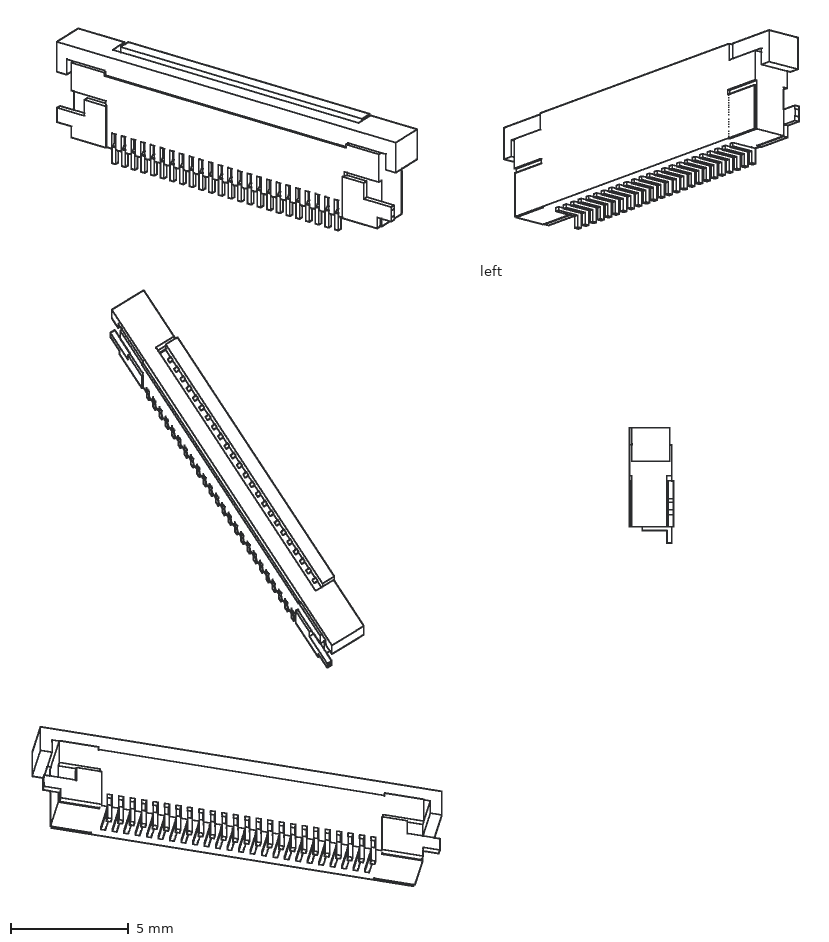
import cadquery as cq


LENGTH = 17.5
HEIGHT = 4.9

HOUSING_LENGTH = 15.89
HOUSING_DEPTH = 1.8
HOUSING_BOTTOM = 0.68
SHOULDER_HEIGHT = 4.16
LEDGE_HEIGHT = 4.0
MIDDLE_LENGTH = 12.46
TONGUE_FRONT = 1.2

ACTUATOR_FRONT = 0.09
ACTUATOR_BACK = 1.7
SHOULDER_GAP = 0.05
ACTUATOR_BOTTOM = SHOULDER_HEIGHT + SHOULDER_GAP
LEG_WIDTH = 0.5
LEG_LENGTH = 1.42
SLOT_LENGTH = 12.69
SLOT_FRONT = 0.79
KEEL_OVERLAP = 0.05

RECESS_LENGTH = 1.78
RECESS_TOP = 2.85
FRONT_RECESS_DEPTH = 0.21
BACK_RECESS_DEPTH = 0.1
TAB_PROUD = 0.07
TAB_GAP = 0.05
TAB_INNER = 6.1
TAB_STEP = 7.21
TAB_FOOT = 7.9
TAB_TIP = 8.63
NUB_LENGTH = 0.009
NUB_TOP = 1.73
NUB_BOTTOM = 1.42
TAB_TOP = 2.65
ARM_TOP = 1.89
ARM_BOTTOM = 1.2

CONTACT_COUNT = 24
CONTACT_ROW_LENGTH = 11.5
CONTACT_PITCH = CONTACT_ROW_LENGTH / (CONTACT_COUNT - 1)
SLIT_WIDTH = 0.21
SLIT_TOP = 1.42
SLIT_DEPTH = 0.21
PIN_WIDTH = 0.2
PIN_BACK = 1.26
PIN_TOP = 0.79
PIN_THICKNESS = 0.21
PIN_UNDERSIDE = 0.52
PIN_RAMP = 0.12
BLADE_WIDTH = 0.18
BLADE_FRONT = 1.05
BLADE_RISE = 0.15


def box(x_range, y_range, z_range):
    """Box between two X, two Y and two Z positions."""
    size = [end - start for start, end in (x_range, y_range, z_range)]
    corner = (x_range[0], y_range[0], z_range[0])
    return cq.Workplane("XY").box(*size, centered=False).translate(corner)


def both_ends(solid):
    """The solid together with its mirror image at the other end."""
    return solid.union(solid.mirror("YZ"))


def make_housing():
    """Body with raised shoulders, a rear tongue above the middle ledge, and tab recesses."""
    half = HOUSING_LENGTH / 2
    middle = MIDDLE_LENGTH / 2
    body = box((-half, half), (0, HOUSING_DEPTH), (HOUSING_BOTTOM, SHOULDER_HEIGHT))
    body = body.cut(box((-middle, middle), (0, TONGUE_FRONT), (LEDGE_HEIGHT, HEIGHT)))
    body = body.union(box((-middle, middle), (TONGUE_FRONT, HOUSING_DEPTH), (LEDGE_HEIGHT, HEIGHT)))
    recess_x = (-half, -half + RECESS_LENGTH)
    recess_z = (HOUSING_BOTTOM, RECESS_TOP)
    recesses = box(recess_x, (0, FRONT_RECESS_DEPTH), recess_z)
    back_recess_y = (HOUSING_DEPTH - BACK_RECESS_DEPTH, HOUSING_DEPTH)
    recesses = recesses.union(box(recess_x, back_recess_y, recess_z))
    return body.cut(both_ends(recesses))


def make_actuator():
    """Bar across the top with end legs, resting on the ledge and open behind for the tongue."""
    half = LENGTH / 2
    leg_inner = half - LEG_WIDTH
    slot_half = SLOT_LENGTH / 2
    keel_half = MIDDLE_LENGTH / 2 + KEEL_OVERLAP
    actuator_y = (ACTUATOR_FRONT, ACTUATOR_BACK)
    bar = box((-half, half), actuator_y, (ACTUATOR_BOTTOM, HEIGHT))
    leg = box((-half, -leg_inner), actuator_y, (HEIGHT - LEG_LENGTH, HEIGHT))
    keel = box((-keel_half, keel_half), (ACTUATOR_FRONT, SLOT_FRONT), (LEDGE_HEIGHT, HEIGHT))
    slot = box((-slot_half, slot_half), (SLOT_FRONT, ACTUATOR_BACK), (LEDGE_HEIGHT, HEIGHT))
    return bar.cut(slot).union(both_ends(leg)).union(keel)


def make_tabs():
    """Stepped front plates with an arm and a small tip nub, and plain back plates, at both ends."""
    front_outline = [
        (-TAB_INNER, HOUSING_BOTTOM),
        (-TAB_FOOT, HOUSING_BOTTOM),
        (-TAB_FOOT, ARM_BOTTOM),
        (-TAB_TIP, ARM_BOTTOM),
        (-TAB_TIP, NUB_BOTTOM),
        (-TAB_TIP - NUB_LENGTH, NUB_BOTTOM),
        (-TAB_TIP - NUB_LENGTH, NUB_TOP),
        (-TAB_TIP, NUB_TOP),
        (-TAB_TIP, ARM_TOP),
        (-TAB_STEP, ARM_TOP),
        (-TAB_STEP, TAB_TOP),
        (-TAB_INNER, TAB_TOP),
    ]
    thickness = FRONT_RECESS_DEPTH - TAB_GAP + TAB_PROUD
    front_tab = (
        cq.Workplane("XZ", origin=(0, -TAB_PROUD, 0)).polyline(front_outline).close().extrude(-thickness)
    )
    back_tab_y = (HOUSING_DEPTH - BACK_RECESS_DEPTH + TAB_GAP, HOUSING_DEPTH)
    back_tab = box((-TAB_FOOT, -TAB_INNER), back_tab_y, (HOUSING_BOTTOM, TAB_TOP))
    return both_ends(front_tab.union(back_tab))


def make_pin():
    """L-shaped pin with a downward tail, ramping up to the back wall of its slit."""
    outline = [
        (0, 0),
        (PIN_THICKNESS, 0),
        (PIN_THICKNESS, PIN_UNDERSIDE),
        (PIN_BACK, PIN_UNDERSIDE),
        (PIN_BACK, PIN_TOP + PIN_RAMP),
        (SLIT_DEPTH, PIN_TOP + PIN_RAMP),
        (SLIT_DEPTH - PIN_RAMP, PIN_TOP),
        (0, PIN_TOP),
    ]
    return cq.Workplane("YZ", origin=(-PIN_WIDTH / 2, 0, 0)).polyline(outline).close().extrude(PIN_WIDTH)


def make_blade():
    """Sloped contact tip standing on the ledge against the tongue."""
    return (
        cq.Workplane("YZ", origin=(-BLADE_WIDTH / 2, 0, LEDGE_HEIGHT))
        .polyline([(BLADE_FRONT, 0), (TONGUE_FRONT, 0), (TONGUE_FRONT, BLADE_RISE)])
        .close()
        .extrude(BLADE_WIDTH)
    )


contact_places = [(i * CONTACT_PITCH - CONTACT_ROW_LENGTH / 2, 0, 0) for i in range(CONTACT_COUNT)]
slit = box((-SLIT_WIDTH / 2, SLIT_WIDTH / 2), (0, SLIT_DEPTH), (HOUSING_BOTTOM, SLIT_TOP))
pin = make_pin()
blade = make_blade()

result = make_housing()
for place in contact_places:
    result = result.cut(slit.translate(place))
    result = result.union(pin.translate(place)).union(blade.translate(place))
result = result.union(make_actuator()).union(make_tabs())